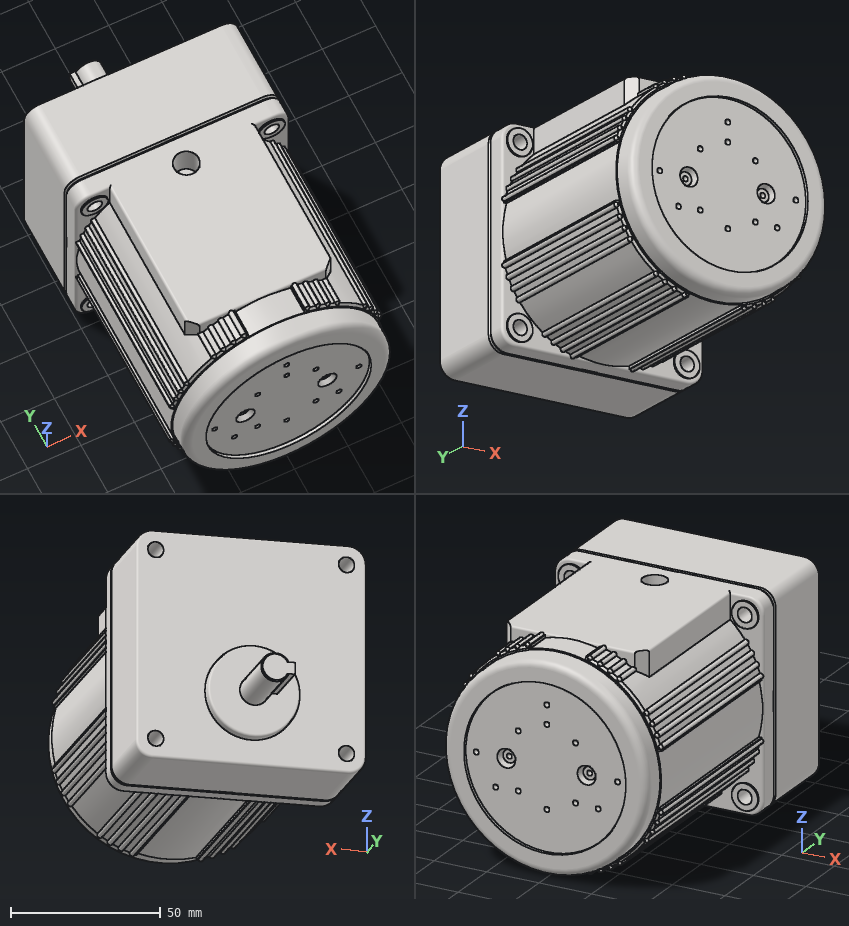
import cadquery as cq
import math


side = 80.0
half_side = side / 2
corner_radius = 6.0
joint_chamfer = 0.68
mount_spacing = 66.2
mount_hole_dia = 5.5

gearbox_length = 32.0
gearbox_front_round = 1.0
shaft_drop = 15.0
pilot_dia = 32.1
pilot_length = 4.0
pilot_round = 0.9
shaft_dia = 10.0
shaft_length = 32.0
shaft_chamfer = 0.5
key_width = 4.1
key_length = 24.8
key_reach = 6.7

motor_length = 87.5
flange_thickness = 7.7
edge_round = 1.0
seat_dia = 10.0
seat_height = 0.6

stator_radius = 40.6
relief_radius = 39.5
relief_half_width = 10.5
stator_end = 78.6
stator_chamfer = 0.9
rib_width = 2.0
rib_tip_radius = 41.5
rib_root_radius = stator_radius - 1.5
ribs_per_group = 4
first_rib_angle = 17.0
rib_pitch = 5.9

box_half_width = 27.3
box_end = 68.0
box_corner_chamfer = 3.6
cable_hole_dia = 9.1
cable_hole_depth = 12.1
cable_hole_offset = 10.6

cap_radius = 39.1
cap_round = 3.0
cap_recess_radius = 30.9
cap_recess_depth = 1.4

dimple_dia = 2.0
dimple_depth = 1.5
inner_ring_radius = 15.5
outer_ring_radius = 22.5
side_dimple_offset = 27.0
screw_mouth_radius = 3.5
screw_floor_radius = 2.4
screw_recess_depth = 2.1
left_screw_offset = inner_ring_radius
right_screw_offset = 15.2


def section_at(y):
    """Workplane across the motor axis whose extrusions run towards -Y."""
    return cq.Workplane("XZ", origin=(0, y, 0))


def polar_point(radius, angle):
    return (radius * math.cos(math.radians(angle)), radius * math.sin(math.radians(angle)))


def square_block(front, length):
    block = section_at(front).rect(side, side).extrude(length)
    return block.edges("|Y").fillet(corner_radius)


def mount_points(plane):
    return plane.rect(mount_spacing, mount_spacing, forConstruction=True).vertices()


def make_shaft():
    tip = gearbox_length + shaft_length
    shaft = section_at(tip).center(0, -shaft_drop).circle(shaft_dia / 2).extrude(shaft_length)
    return shaft.faces(">Y").chamfer(shaft_chamfer)


def make_key():
    """Key on the -X side of the shaft, with a round inner end."""
    tip = gearbox_length + shaft_length
    key = cq.Workplane("XY").box(key_reach, key_length, key_width, centered=(False, False, True))
    key = key.edges("|X and <Y").fillet(key_width * 0.499)
    return key.translate((-key_reach, tip - key_length, -shaft_drop))


def make_gearbox():
    body = square_block(gearbox_length, gearbox_length)
    body = body.faces(">Y").edges().fillet(gearbox_front_round)
    body = body.faces("<Y").edges().chamfer(joint_chamfer)
    pilot = section_at(gearbox_length + pilot_length).center(0, -shaft_drop)
    pilot = pilot.circle(pilot_dia / 2).extrude(pilot_length)
    pilot = pilot.faces(">Y").edges().fillet(pilot_round)
    holes = mount_points(section_at(gearbox_length)).circle(mount_hole_dia / 2).extrude(gearbox_length)
    return body.union(pilot).cut(holes).union(make_shaft()).union(make_key())


def make_flange():
    flange = square_block(0, flange_thickness)
    flange = flange.faces(">Y").edges().chamfer(joint_chamfer)
    flange = flange.faces("<Y").edges().fillet(edge_round)
    seats = mount_points(section_at(0)).circle(seat_dia / 2).extrude(flange_thickness + seat_height)
    return flange.union(seats)


def make_side_reliefs():
    """Ring stock outside the relief radius, kept only in bands facing +-X and +-Z."""
    ring = section_at(0).circle(rib_tip_radius).circle(relief_radius).extrude(stator_end)
    bands = section_at(0).rect(2 * rib_tip_radius, 2 * relief_half_width).extrude(stator_end)
    bands = bands.union(bands.rotate((0, 0, 0), (0, 1, 0), 90))
    return ring.intersect(bands)


def make_rib(angle):
    """Straight rib with a half-round crest, set radially on the stator."""
    half_width = rib_width / 2
    rib = section_at(-joint_chamfer).moveTo(rib_root_radius, -half_width)
    rib = rib.lineTo(rib_tip_radius - half_width, -half_width)
    rib = rib.threePointArc((rib_tip_radius, 0), (rib_tip_radius - half_width, half_width))
    rib = rib.lineTo(rib_root_radius, half_width).close().extrude(stator_end - joint_chamfer)
    end_edges = rib.faces("<Y").edges("not <X")
    return end_edges.chamfer(stator_chamfer).rotate((0, 0, 0), (0, 1, 0), angle)


def make_stator():
    """Cylinder with four groups of ribs, trimmed to the square section."""
    core = section_at(0).circle(stator_radius).extrude(stator_end)
    core = core.faces("<Y").edges().chamfer(stator_chamfer)
    core = core.cut(make_side_reliefs())
    for quadrant in range(4):
        for index in range(ribs_per_group):
            angle = first_rib_angle + rib_pitch * index
            core = core.union(make_rib(90 * quadrant + angle))
            core = core.union(make_rib(90 * quadrant - angle))
    envelope = section_at(0).rect(side, side).extrude(stator_end)
    return core.intersect(envelope)


def make_box_corner_cuts():
    """Triangular prisms that bevel the two rear corners of the terminal box over its full height."""
    corner = cq.Workplane("XY").polyline([
        (box_half_width, -box_end),
        (box_half_width, -box_end + box_corner_chamfer),
        (box_half_width - box_corner_chamfer, -box_end),
    ]).close().extrude(half_side)
    return corner.union(corner.mirror("YZ"))


def make_terminal_box():
    box_start = joint_chamfer
    box = cq.Workplane("XY").box(
        2 * box_half_width, box_end - box_start, half_side, centered=(True, False, False)
    )
    box = box.translate((0, -box_end, 0))
    box = box.faces(">Z").edges("not >Y").fillet(edge_round)
    return box.cut(make_box_corner_cuts())


def make_cap():
    cap = section_at(0).circle(cap_radius).extrude(motor_length)
    cap = cap.faces("<Y").edges().fillet(cap_round)
    recess = section_at(-motor_length + cap_recess_depth).circle(cap_recess_radius)
    return cap.cut(recess.extrude(cap_recess_depth))


def make_cone(x, z, mouth_y, mouth_radius, end_radius, depth):
    """Cone that narrows towards +Y from its mouth."""
    start = cq.Vector(x, mouth_y, z)
    return cq.Solid.makeCone(mouth_radius, end_radius, depth, start, cq.Vector(0, 1, 0))


def make_rear_recesses():
    """Dimples and conical screw recesses sunk into the floor of the cap recess."""
    floor = -motor_length + cap_recess_depth
    dimples = [polar_point(inner_ring_radius, angle) for angle in (45, 90, 135, 225, 270, 315)]
    dimples += [polar_point(outer_ring_radius, angle) for angle in (90, 210, 330)]
    dimples += [(side_dimple_offset, 0), (-side_dimple_offset, 0)]
    tool = cq.Workplane()
    for x, z in dimples:
        tool = tool.add(make_cone(x, z, floor, dimple_dia / 2, 0, dimple_depth))
    screw_floor = floor + screw_recess_depth
    for x in (-left_screw_offset, right_screw_offset):
        tool = tool.add(make_cone(x, 0, floor, screw_mouth_radius, screw_floor_radius, screw_recess_depth))
        tool = tool.add(make_cone(x, 0, screw_floor, dimple_dia / 2, 0, dimple_depth))
    return tool.combine()


def make_motor():
    body = make_flange().union(make_terminal_box()).union(make_stator()).union(make_cap())
    holes = mount_points(section_at(0)).circle(mount_hole_dia / 2)
    holes = holes.extrude(flange_thickness + seat_height)
    cable_hole = cq.Workplane("XY", origin=(0, -cable_hole_offset, half_side))
    cable_hole = cable_hole.circle(cable_hole_dia / 2).extrude(-cable_hole_depth)
    return body.cut(holes).cut(cable_hole).cut(make_rear_recesses())


gearbox = make_gearbox()
motor = make_motor()

result = cq.Compound.makeCompound([gearbox.val(), motor.val()])